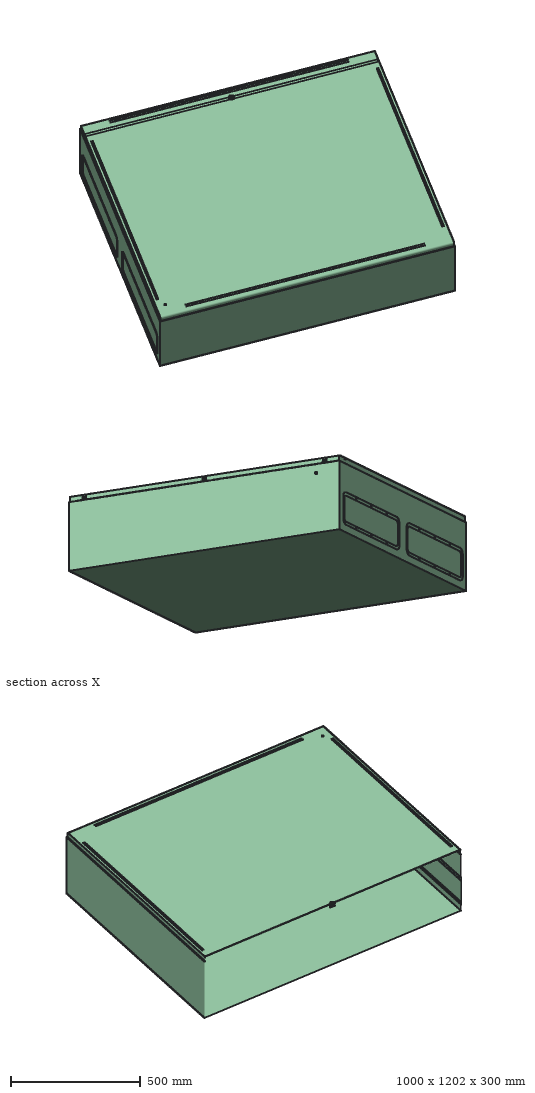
import cadquery as cq

overall_width = 1000.0
overall_length = 1202.0
overall_height = 300.0
sheet = 1.5

plate_thickness = 1.7
plate_length = 445.0
plate_height = 131.0
plate_radius = 24.0
plate_offset_x = 250.0
plate_z = 96.0
opening_length = 420.0
opening_height = 105.0
opening_radius = 13.0
screw_hole_diameter = 5.0
screw_pitch = 120.0

housing_front_y = -overall_length / 2 + plate_thickness
housing_length = overall_length - plate_thickness
housing_mid_y = housing_front_y + housing_length / 2
housing_height = 276.0
side_hole_diameter = 10.0
side_hole_y = -495.0
side_hole_z = 242.0

door_side_inset = 1.0
door_end_inset = 2.0
door_gap = 1.0
door_bottom = housing_height + door_gap
door_width = overall_width - 2 * door_side_inset
door_length = housing_length - 2 * door_end_inset
door_height = overall_height - door_bottom
door_radius = 8.0

groove_width = 0.6
groove_depth = 0.6
end_groove_length = 820.0
end_groove_spacing = 7.0
end_groove_offset_y = 580.0
side_groove_length = 971.0
side_groove_spacing = 10.0
side_groove_offset_x = 476.0
side_groove_shift_x = -4.0

corner_hole_diameter = 7.0
corner_hole_x = 443.0
corner_hole_y = -559.0
notch_width = 17.0
notch_height = 12.0
notch_pitch = 532.0

lock_x = -448.0
lock_diameter = 22.0
lock_length = 18.0
lock_socket_side = 10.0
lock_socket_depth = 10.0
bar_width = 12.0
bar_thickness = 2.0
bar_drop = 4.0
bar_end_gap = 0.6


def centred_box(size_x, size_y, height):
    """Box centred in plan, standing on the XY plane."""
    return cq.Workplane("XY").box(size_x, size_y, height, centered=(True, True, False))


def rounded_plate(length, height, thickness, radius):
    """Upright plate with rounded corners, reaching from y = 0 towards +Y."""
    plate = cq.Workplane("XY").box(length, thickness, height, centered=(True, False, True))
    return plate.edges("|Y").fillet(radius)


def make_housing():
    tray = centred_box(overall_width, housing_length, housing_height)
    cavity = centred_box(overall_width - 2 * sheet, housing_length - 2 * sheet, housing_height)
    housing = tray.cut(cavity.translate((0, 0, sheet))).translate((0, housing_mid_y, 0))
    for side in (-1, 1):
        opening = rounded_plate(opening_length, opening_height, sheet, opening_radius)
        housing = housing.cut(opening.translate((side * plate_offset_x, housing_front_y, plate_z)))
    side_hole = (
        cq.Workplane("YZ", origin=(-overall_width / 2, side_hole_y, side_hole_z))
        .circle(side_hole_diameter / 2)
        .extrude(sheet)
    )
    return housing.cut(side_hole)


def make_plate(centre_x):
    plate = rounded_plate(plate_length, plate_height, plate_thickness, plate_radius)
    screw_x = (plate_length + opening_length) / 4
    screw_z = (plate_height + opening_height) / 4
    screw_points = [(-screw_x, 0), (screw_x, 0)]
    for step in (-1, 0, 1):
        screw_points += [(step * screw_pitch, -screw_z), (step * screw_pitch, screw_z)]
    screw_holes = (
        cq.Workplane("XZ").pushPoints(screw_points).circle(screw_hole_diameter / 2).extrude(-plate_thickness)
    )
    return plate.cut(screw_holes).translate((centre_x, -overall_length / 2, plate_z))


def door_hood(width, length, height, radius):
    """Box whose two long upper edges are rounded."""
    return centred_box(width, length, height).edges("|Y and >Z").fillet(radius)


def make_door():
    outside = door_hood(door_width, door_length, door_height, door_radius)
    inside = door_hood(
        door_width - 2 * sheet, door_length - 2 * sheet, door_height - sheet, door_radius - sheet
    )
    door = outside.cut(inside).translate((0, housing_mid_y, door_bottom))
    return door


def cut_grooves(door):
    groove_z = overall_height - groove_depth
    end_groove = centred_box(end_groove_length, groove_width, groove_depth)
    side_groove = centred_box(groove_width, side_groove_length, groove_depth)
    for side in (-1, 1):
        for edge in (-0.5, 0.5):
            end_y = housing_mid_y + side * end_groove_offset_y + edge * end_groove_spacing
            side_x = side_groove_shift_x + side * side_groove_offset_x + edge * side_groove_spacing
            door = door.cut(end_groove.translate((0, end_y, groove_z)))
            door = door.cut(side_groove.translate((side_x, housing_mid_y, groove_z)))
    return door


def cut_door_openings(door):
    for x, y, diameter in (
        (corner_hole_x, corner_hole_y, corner_hole_diameter),
        (lock_x, housing_mid_y, lock_diameter),
    ):
        hole = cq.Workplane("XY", origin=(x, y, overall_height)).circle(diameter / 2).extrude(-sheet)
        door = door.cut(hole)
    for step in (-1, 0, 1):
        notch = cq.Workplane("XY").box(sheet, notch_width, notch_height, centered=(False, True, False))
        notch_y = housing_mid_y + step * notch_pitch
        door = door.cut(notch.translate((-door_width / 2, notch_y, door_bottom)))
    return door


def make_lock():
    barrel = cq.Workplane("XY").circle(lock_diameter / 2).extrude(-lock_length)
    bar_length = door_length - 2 * (sheet + bar_end_gap)
    bar = centred_box(bar_width, bar_length, bar_thickness).translate((0, 0, -bar_drop - bar_thickness))
    socket = centred_box(lock_socket_side, lock_socket_side, lock_socket_depth)
    lock = barrel.union(bar).cut(socket.translate((0, 0, -lock_socket_depth)))
    return lock.translate((lock_x, housing_mid_y, overall_height))


housing = make_housing()
door = cut_door_openings(cut_grooves(make_door()))
lock = make_lock()
plates = [make_plate(side * plate_offset_x) for side in (-1, 1)]

result = cq.Compound.makeCompound([housing.val(), door.val(), lock.val(), *[plate.val() for plate in plates]])